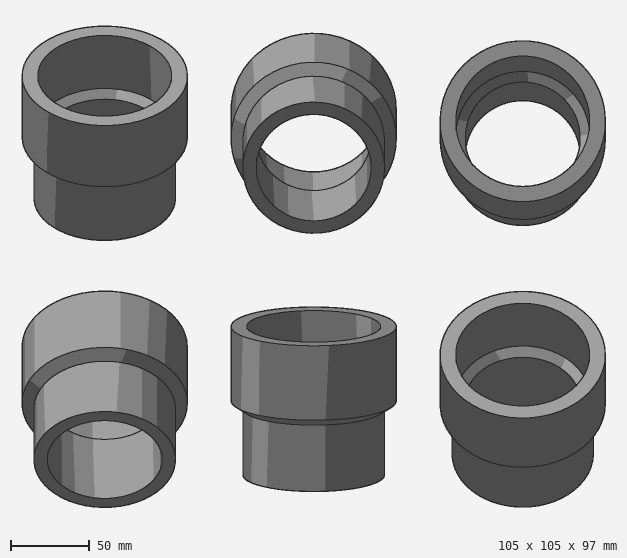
import cadquery as cq

socket_diameter = 105.0
spigot_diameter = 90.0
total_height = 97.0
spigot_length = 43.4
outer_taper_height = 5.0

socket_bore_diameter = 85.0
passage_diameter = 73.0
socket_depth = 42.1
inner_taper_height = 4.0

outer_taper_top = spigot_length + outer_taper_height
socket_floor = total_height - socket_depth
inner_taper_bottom = socket_floor - inner_taper_height

half_section = (
    cq.Workplane("XZ")
    .moveTo(passage_diameter / 2, 0)
    .lineTo(spigot_diameter / 2, 0)
    .lineTo(spigot_diameter / 2, spigot_length)
    .lineTo(socket_diameter / 2, outer_taper_top)
    .lineTo(socket_diameter / 2, total_height)
    .lineTo(socket_bore_diameter / 2, total_height)
    .lineTo(socket_bore_diameter / 2, socket_floor)
    .lineTo(passage_diameter / 2, inner_taper_bottom)
    .close()
)

result = half_section.revolve(360, (0, 0, 0), (0, 1, 0))